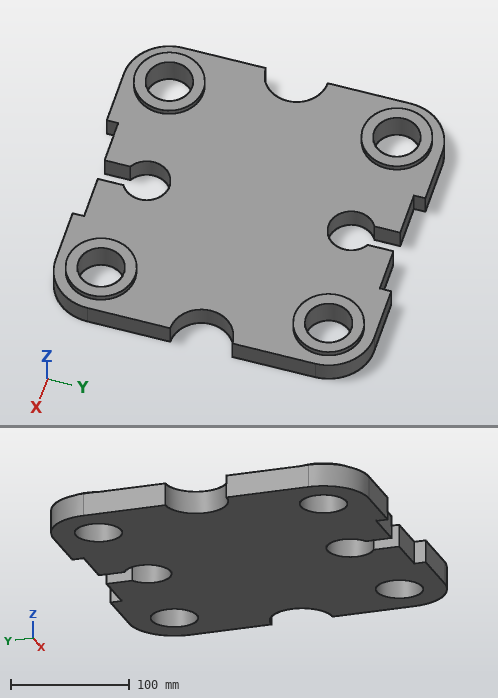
import cadquery as cq

side = 280.0
thickness = 20.0
corner_radius = 40.0

boss_height = 5.0
boss_diameter = 60.0
hole_diameter = 40.0
hole_spacing = side - 2 * corner_radius

notch_width = 100.0
notch_depth = 10.0
slot_width = 20.0
keyhole_diameter = 40.0
keyhole_offset = 90.0
scallop_radius = 27.2

half_side = side / 2
total_height = thickness + boss_height


def make_plate():
    """Square plate with rounded vertical corners, resting on Z = 0."""
    plate = cq.Workplane("XY").rect(side, side).extrude(thickness)
    return plate.edges("|Z").fillet(corner_radius)


def corner_cylinders(diameter, height):
    """Four upright cylinders at the corner hole positions."""
    return (
        cq.Workplane("XY")
        .rect(hole_spacing, hole_spacing, forConstruction=True)
        .vertices()
        .circle(diameter / 2)
        .extrude(height)
    )


def keyhole_cutter(direction):
    """Shallow notch and keyhole slot on the +Y (1) or -Y (-1) edge."""
    notch = (
        cq.Workplane("XY")
        .center(0, direction * half_side)
        .rect(notch_width, 2 * notch_depth)
        .extrude(thickness)
    )
    slot_length = half_side - keyhole_offset
    slot = (
        cq.Workplane("XY")
        .center(0, direction * (keyhole_offset + slot_length / 2))
        .rect(slot_width, slot_length)
        .extrude(thickness)
    )
    round_end = (
        cq.Workplane("XY")
        .center(0, direction * keyhole_offset)
        .circle(keyhole_diameter / 2)
        .extrude(thickness)
    )
    return notch.union(slot).union(round_end)


def scallop_cutter(direction):
    """Semicircular cutout centred on the +X (1) or -X (-1) edge."""
    return (
        cq.Workplane("XY")
        .center(direction * half_side, 0)
        .circle(scallop_radius)
        .extrude(thickness)
    )


result = make_plate().union(corner_cylinders(boss_diameter, total_height))
result = result.cut(corner_cylinders(hole_diameter, total_height))
for direction in (1, -1):
    result = result.cut(keyhole_cutter(direction))
    result = result.cut(scallop_cutter(direction))